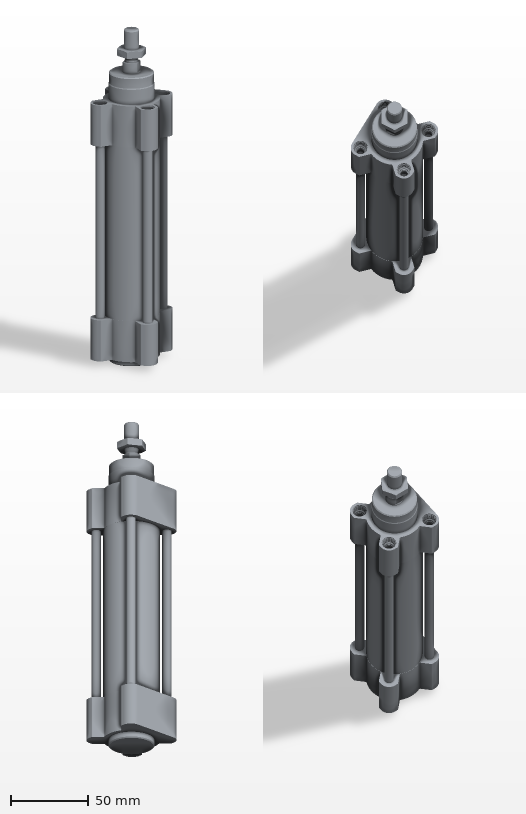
import cadquery as cq
import math

total_length = 225.0
rear_boss_height = 4.0
cap_height = 28.0
front_cap_top = 178.0
front_cap_bottom = front_cap_top - cap_height
rear_cap_top = rear_boss_height + cap_height

cap_width = 45.0
barrel_diameter = 37.0
cap_core_diameter = 37.1
bolt_spacing = 32.5
corner_radius = (cap_width - bolt_spacing) / 2
arm_width = 12.5
arm_edge_radius = 0.7
match_tolerance = 0.02
tie_rod_diameter = 6.0

boss_diameter = 30.0
boss_chamfer = 0.7
boss_step_height = 10.1
collar_height = 18.0
collar_top = front_cap_top + collar_height
collar_diameter = 29.3
collar_waist_depth = 0.14
collar_step_chamfer = 0.7

recess_step_diameters = (9.5, 9.0, 8.8, 8.5, 8.0, 6.0, 5.0)
recess_step_height = 1.0
socket_diameter = 4.5
socket_depth = 4.5
socket_point_angle = 118.0

rod_diameter = 12.0
rod_flat_width = 10.0
rod_bottom = front_cap_top
rod_flat_bottom = collar_top + 0.7
rod_shoulder_top = 203.0
neck_collar_top = 204.6
neck_collar_bevel_height = 0.7
neck_collar_diameter = 9.0
neck_diameter = 8.0
neck_top_diameter = 9.5
thread_diameter = 10.0
tip_diameter = 8.5
tip_bevel_height = 1.0

nut_sides = 6
nut_width = 16.9
nut_height = 4.7
nut_bottom = 207.3
nut_top = nut_bottom + nut_height
nut_face_diameter = 16.7
nut_bevel_height = 0.2


def cylinder(diameter, bottom, top):
    """Round bar on the Z axis."""
    return cq.Workplane("XY", origin=(0, 0, bottom)).circle(diameter / 2).extrude(top - bottom)


def tie_rods(bottom, top):
    """Four round bars on the bolt square."""
    return (
        cq.Workplane("XY", origin=(0, 0, bottom))
        .rect(bolt_spacing, bolt_spacing, forConstruction=True).vertices()
        .circle(tie_rod_diameter / 2).extrude(top - bottom)
    )


def is_arm_corner(point):
    """True where an arm flank meets an outer face of the cap."""
    near, far = sorted((abs(point.x), abs(point.y)))
    on_flank = math.isclose(far - near, arm_width * math.sqrt(0.5), abs_tol=match_tolerance)
    on_outer_face = math.isclose(far, cap_width / 2, abs_tol=match_tolerance)
    return on_flank and on_outer_face


def end_cap(bottom):
    """Square cap cut back to the barrel on three sides, with a corner arm at each bolt."""
    base = cq.Workplane("XY", origin=(0, 0, bottom))
    square = base.rect(cap_width, cap_width).extrude(cap_height).edges("|Z").fillet(corner_radius)
    kept = cylinder(cap_core_diameter, bottom, bottom + cap_height)
    for angle in (45, 135):
        arm = base.transformed(rotate=(0, 0, angle)).rect(2 * cap_width, arm_width).extrude(cap_height)
        kept = kept.union(arm)
    flat_side = (
        base.polyline([(0, 0), (cap_width, cap_width), (-cap_width, cap_width)]).close()
        .extrude(cap_height)
    )
    kept = kept.edges("|Z").fillet(arm_edge_radius).union(flat_side)
    return (
        square.intersect(kept).edges("|Z")
        .filter(lambda edge: is_arm_corner(edge.Center()))
        .fillet(arm_edge_radius)
    )


def front_boss():
    """Stepped boss whose upper band is slightly waisted."""
    step = front_cap_top + boss_step_height
    band_top = collar_top - boss_chamfer
    band_radius = collar_diameter / 2
    return (
        cq.Workplane("XZ")
        .moveTo(0, front_cap_top)
        .lineTo(boss_diameter / 2, front_cap_top)
        .lineTo(boss_diameter / 2, step)
        .lineTo(band_radius, step + collar_step_chamfer)
        .threePointArc(
            (band_radius - collar_waist_depth, (step + collar_step_chamfer + band_top) / 2),
            (band_radius, band_top),
        )
        .lineTo(band_radius - boss_chamfer, collar_top)
        .lineTo(0, collar_top)
        .close()
        .revolve(360, (0, 0, 0), (0, 1, 0))
    )


def screw_socket():
    """Recess cutter for one screw: a stepped funnel ending in a drilled socket."""
    profile = cq.Workplane("XZ").moveTo(0, 0)
    depth = 0
    for diameter in recess_step_diameters:
        profile = profile.lineTo(diameter / 2, -depth)
        depth += recess_step_height
        profile = profile.lineTo(diameter / 2, -depth)
    point_height = socket_diameter / 2 / math.tan(math.radians(socket_point_angle / 2))
    return (
        profile
        .lineTo(socket_diameter / 2, -depth)
        .lineTo(socket_diameter / 2, -depth - socket_depth)
        .lineTo(0, -depth - socket_depth - point_height)
        .close()
        .revolve(360, (0, 0, 0), (0, 1, 0))
    )


def build_housing():
    """End caps, barrel, tie rods and bosses, bored for the rod and recessed for the screws."""
    rear_boss = cylinder(boss_diameter, 0, rear_boss_height).faces("<Z").chamfer(boss_chamfer)
    housing = (
        end_cap(rear_boss_height)
        .union(rear_boss)
        .union(cylinder(barrel_diameter, rear_cap_top, front_cap_bottom))
        .union(tie_rods(rear_cap_top, front_cap_bottom))
        .union(end_cap(front_cap_bottom))
        .union(front_boss())
    )
    bolt_offset = bolt_spacing / 2
    for x in (-bolt_offset, bolt_offset):
        for y in (-bolt_offset, bolt_offset):
            housing = housing.cut(screw_socket().translate((x, y, front_cap_top)))
    return housing.cut(cylinder(rod_diameter, rod_bottom, collar_top))


def build_piston_rod():
    """Rod with two wrench flats, a waisted neck and a plain thread stud."""
    body = cylinder(rod_diameter, rod_bottom, rod_shoulder_top)
    flats_height = rod_shoulder_top - rod_flat_bottom
    for side in (-1, 1):
        flat = (
            cq.Workplane("XY", origin=(side * rod_diameter, 0, rod_flat_bottom))
            .rect(2 * rod_diameter - rod_flat_width, 2 * rod_diameter).extrude(flats_height)
        )
        body = body.cut(flat)
    neck_and_thread = (
        cq.Workplane("XZ")
        .moveTo(0, rod_shoulder_top)
        .lineTo(neck_collar_diameter / 2, rod_shoulder_top)
        .lineTo(neck_collar_diameter / 2, neck_collar_top - neck_collar_bevel_height)
        .lineTo(neck_diameter / 2, neck_collar_top)
        .lineTo(neck_top_diameter / 2, nut_bottom)
        .lineTo(thread_diameter / 2, nut_bottom)
        .lineTo(thread_diameter / 2, total_length - tip_bevel_height)
        .lineTo(tip_diameter / 2, total_length)
        .lineTo(0, total_length)
        .close()
        .revolve(360, (0, 0, 0), (0, 1, 0))
    )
    return body.union(neck_and_thread)


def build_nut():
    """Hexagon nut with its corners on the Y axis and both ends bevelled."""
    across_corners = nut_width / math.cos(math.pi / nut_sides)
    hexagon = (
        cq.Workplane("XY", origin=(0, 0, nut_bottom)).polygon(nut_sides, across_corners).extrude(nut_height)
        .rotate((0, 0, 0), (0, 0, 1), 180 / nut_sides)
    )
    bevel_width = (across_corners - nut_face_diameter) / 2
    envelope = cylinder(across_corners, nut_bottom, nut_top).edges().chamfer(nut_bevel_height, bevel_width)
    return hexagon.intersect(envelope).cut(cylinder(thread_diameter, nut_bottom, nut_top))


housing = build_housing()
piston_rod = build_piston_rod()
nut = build_nut()
result = cq.Compound.makeCompound([housing.val(), piston_rod.val(), nut.val()])